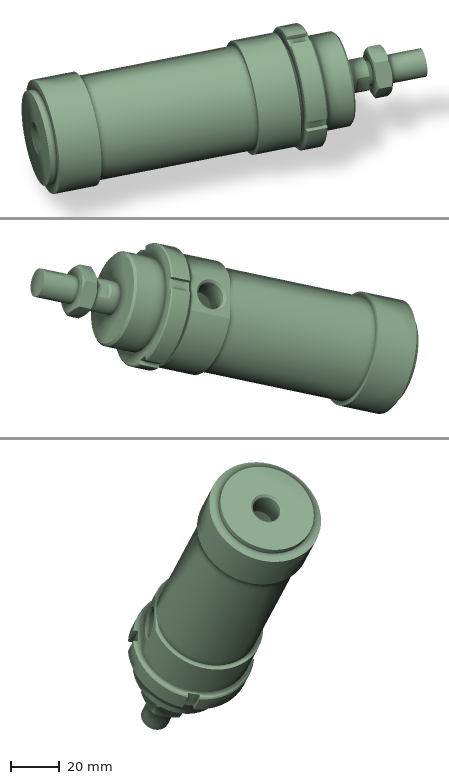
import cadquery as cq
import math


TOTAL_LENGTH = 167.0
HOUSING_LENGTH = 132.0
SPIGOT_DIAMETER = 40.0
SPIGOT_CHAMFER = 1.0
REAR_SPIGOT_LENGTH = 3.0
CAP_DIAMETER = 48.0
CAP_LENGTH = 18.0
TUBE_DIAMETER = 44.0
FRONT_CAP_END = 107.0
PORT_FLAT_OFFSET = 22.3
PORT_STATION = 97.5

HOLE_MOUTH_DIAMETER = 13.6
HOLE_DIAMETER = 11.7
HOLE_DEPTH = 12.0
DRILL_POINT_ANGLE = 118.0

RING_DIAMETER = 52.0
RING_WIDTH = 9.0
RING_REAR = 109.0
RING_CHAMFER = 0.5
RING_SLOT_WIDTH = 5.0
RING_SLOT_DEPTH = 2.0
RING_SLOT_COUNT = 4

ROD_DIAMETER = 14.0
ROD_SHOULDER = 142.0
ROD_FLAT_WIDTH = 12.1
ROD_FLAT_LENGTH = 5.0
NECK_DIAMETER = 10.6
THREAD_DIAMETER = 12.0

HEX_SIDES = 6
HEX_WIDTH = 19.0
HEX_HEIGHT = 7.0
HEX_REAR = 144.0
HEX_CHAMFER_ANGLE = 30.0


def shaft(diameter, start, end):
    """Cylinder about the Y axis between two stations."""
    return (
        cq.Workplane("XZ", origin=(0, start, 0))
        .circle(diameter / 2)
        .extrude(start - end)
    )


def tapped_hole(point_length):
    """Cutter along +X from the origin: chamfered mouth, bore and conical point (0 for flat)."""
    mouth_radius = HOLE_MOUTH_DIAMETER / 2
    radius = HOLE_DIAMETER / 2
    mouth_depth = mouth_radius - radius
    bore = (
        cq.Workplane("XY")
        .moveTo(0, 0)
        .lineTo(0, mouth_radius)
        .lineTo(mouth_depth, radius)
        .lineTo(HOLE_DEPTH, radius)
        .lineTo(HOLE_DEPTH + point_length, 0)
    )
    return bore.close().revolve(360, (0, 0, 0), (1, 0, 0))


def make_housing():
    rear_cap_end = REAR_SPIGOT_LENGTH + CAP_LENGTH
    front_cap_start = FRONT_CAP_END - CAP_LENGTH
    front_cap_middle = FRONT_CAP_END - CAP_LENGTH / 2

    front_spigot = shaft(SPIGOT_DIAMETER, FRONT_CAP_END, HOUSING_LENGTH)
    front_spigot = front_spigot.faces(">Y").chamfer(SPIGOT_CHAMFER)

    front_cap = shaft(CAP_DIAMETER, front_cap_start, FRONT_CAP_END)
    front_cap = front_cap.intersect(
        cq.Workplane("XY")
        .box(CAP_DIAMETER, CAP_LENGTH, CAP_DIAMETER, centered=(False, True, True))
        .translate((-PORT_FLAT_OFFSET, front_cap_middle, 0))
    )

    housing = (
        shaft(SPIGOT_DIAMETER, 0, REAR_SPIGOT_LENGTH)
        .union(shaft(CAP_DIAMETER, REAR_SPIGOT_LENGTH, rear_cap_end))
        .union(shaft(TUBE_DIAMETER, rear_cap_end, front_cap_start))
        .union(front_cap)
        .union(front_spigot)
    )
    port = tapped_hole(point_length=0).translate((-PORT_FLAT_OFFSET, PORT_STATION, 0))
    drill_point = HOLE_DIAMETER / 2 / math.tan(math.radians(DRILL_POINT_ANGLE / 2))
    rear_socket = tapped_hole(drill_point).rotate((0, 0, 0), (0, 0, 1), 90)
    return housing.cut(port).cut(rear_socket)


def make_ring_nut():
    ring_front = RING_REAR + RING_WIDTH
    ring = shaft(RING_DIAMETER, RING_REAR, ring_front).faces("<Y or >Y").chamfer(RING_CHAMFER)
    ring = ring.cut(shaft(SPIGOT_DIAMETER, RING_REAR, ring_front))

    slot = cq.Workplane("XY").box(RING_SLOT_WIDTH, RING_WIDTH, 2 * RING_SLOT_DEPTH)
    slot = slot.translate((0, RING_REAR + RING_WIDTH / 2, RING_DIAMETER / 2))
    for index in range(RING_SLOT_COUNT):
        ring = ring.cut(slot.rotate((0, 0, 0), (0, 1, 0), index * 360 / RING_SLOT_COUNT))
    return ring


def make_rod():
    barrel = shaft(ROD_DIAMETER, HOUSING_LENGTH, ROD_SHOULDER)

    flat_offset = ROD_FLAT_WIDTH / 2
    cut_depth = ROD_DIAMETER / 2 - flat_offset
    flat_start = ROD_SHOULDER - ROD_FLAT_LENGTH
    flat_cut = (
        cq.Workplane("XY")
        .polyline([
            (flat_offset, ROD_SHOULDER),
            (flat_offset, flat_start),
            (flat_offset + cut_depth, flat_start - cut_depth),
            (flat_offset + cut_depth, ROD_SHOULDER),
        ])
        .close()
        .extrude(ROD_DIAMETER / 2, both=True)
    )
    barrel = barrel.cut(flat_cut).cut(flat_cut.mirror("YZ"))

    return (
        barrel
        .union(shaft(NECK_DIAMETER, ROD_SHOULDER, HEX_REAR))
        .union(shaft(THREAD_DIAMETER, HEX_REAR, TOTAL_LENGTH))
    )


def make_hex_nut():
    hex_front = HEX_REAR + HEX_HEIGHT
    corner_diameter = HEX_WIDTH / math.cos(math.pi / HEX_SIDES)
    corner_drop = (corner_diameter - HEX_WIDTH) / 2

    nut = (
        cq.Workplane("XZ", origin=(0, HEX_REAR, 0))
        .polygon(HEX_SIDES, corner_diameter)
        .extrude(-HEX_HEIGHT)
    )
    turned_blank = (
        shaft(corner_diameter, HEX_REAR, hex_front)
        .faces("<Y or >Y")
        .chamfer(corner_drop * math.tan(math.radians(HEX_CHAMFER_ANGLE)), corner_drop)
    )
    return nut.intersect(turned_blank).cut(shaft(THREAD_DIAMETER, HEX_REAR, hex_front))


housing = make_housing()
ring_nut = make_ring_nut()
rod = make_rod()
hex_nut = make_hex_nut()

result = cq.Compound.makeCompound([housing.val(), ring_nut.val(), rod.val(), hex_nut.val()])